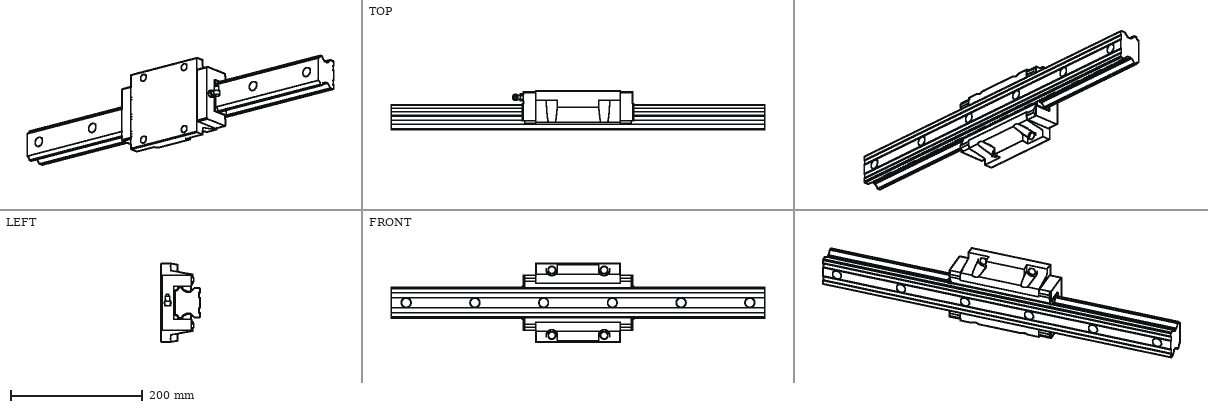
import cadquery as cq


RAIL_LENGTH = 570.0
RAIL_HEIGHT = 38.0
FOOT_HALF_WIDTH = 23.0
FOOT_HEIGHT = 8.5
FOOT_CHAMFER = 1.4
WAIST_HALF_WIDTH = 16.5
WAIST_BOTTOM = FOOT_HEIGHT + FOOT_HALF_WIDTH - WAIST_HALF_WIDTH
WAIST_TOP = 20.5
BEVEL_TOP = 22.0
BEVEL_HALF_WIDTH = 17.5
HEAD_HALF_WIDTH = 23.5
HEAD_BOTTOM = 28.0
TRACK_RADIUS = 5.0
FLANK_MIDPOINT = (25.5, 19.5)
RELIEF_INNER = 8.0
RELIEF_OUTER = 15.5
RELIEF_DEPTH = 1.4
RAIL_HOLE_COUNT = 6
RAIL_HOLE_PITCH = 105.0
RAIL_HOLE_DIAMETER = 14.0

MOUNT_FACE = 60.0
BLOCK_LENGTH = 129.0
BLOCK_BOTTOM = 11.5
FLANGE_HALF_WIDTH = 120.0 / 2
FLANGE_CHAMFER = 1.0
FLANGE_UNDERSIDE = 45.0
PAD_UNDERSIDE = 34.0
PAD_EDGE_HALF_WIDTH = 58.0
WEB_TOP_HALF_WIDTH = 49.0
WEB_BOTTOM_HALF_WIDTH = 43.5
FLANGE_FILLET = 3.5
BOLT_SPACING_X = 80.0
BOLT_SPACING_Z = 100.0
BOLT_HOLE_DIAMETER = 11.0
BOLT_POCKET_RADIUS = 8.5
PAD_LENGTH = BOLT_SPACING_X - 2 * BOLT_POCKET_RADIUS

CAP_TOP = 58.0
CAP_HALF_WIDTH = 42.0
CAP_CHAMFER = 1.5
CAP_SHOULDER = 13.5
CAP_BOTTOM = 9.5
CAP_FOOT_OUTER = 37.5
CAP_END = 81.5
PLATE_END = 83.0
LIP_END = 85.0
LIP_TOP = 40.0
LIP_HALF_WIDTH = 25.0

RAIL_CLEARANCE = 0.5
MOUTH_HALF_WIDTH = 52.5
MOUTH_SLOPE = 2.0
MOUTH_TOP = 17.0

NIPPLE_X = -95.0
NIPPLE_Y = 49.5
HEX_CORNER_DIAMETER = 11.0
HEX_LENGTH = 4.5
STEM_RADIUS = 3.5
BODY_RADIUS = 4.5
BODY_BOTTOM = -4.5
BODY_TOP = 2.0
NOZZLE_TOP = 9.5
TIP_RADIUS = 2.0
TIP_TOP = 13.0


def extrude_between(profile, x_start, x_end):
    """Extrude a closed YZ profile from x_start to x_end."""
    return profile.extrude(x_end - x_start).translate((x_start, 0, 0))


def polygon(points):
    return cq.Workplane("YZ").polyline(points).close()


def mirrored_polygon(points):
    """Closed profile from its +Z half, listed from one end to the other."""
    return polygon(points + [(y, -z) for y, z in reversed(points)])


def box_between(y_low, y_high, z_low, z_high, x_start, x_end):
    outline = polygon([(y_low, z_low), (y_high, z_low), (y_high, z_high), (y_low, z_high)])
    return extrude_between(outline, x_start, x_end)


def rail_profile():
    """Rail cross-section without the relief grooves in its foot."""
    track_edge = HEAD_HALF_WIDTH - TRACK_RADIUS
    track_bottom = RAIL_HEIGHT - TRACK_RADIUS
    track_mid = TRACK_RADIUS * 0.5**0.5
    flank_y, flank_z = FLANK_MIDPOINT
    return (
        cq.Workplane("YZ")
        .moveTo(0, -FOOT_HALF_WIDTH + FOOT_CHAMFER)
        .lineTo(0, FOOT_HALF_WIDTH - FOOT_CHAMFER)
        .lineTo(FOOT_CHAMFER, FOOT_HALF_WIDTH)
        .lineTo(FOOT_HEIGHT, FOOT_HALF_WIDTH)
        .lineTo(WAIST_BOTTOM, WAIST_HALF_WIDTH)
        .lineTo(WAIST_TOP, WAIST_HALF_WIDTH)
        .lineTo(BEVEL_TOP, BEVEL_HALF_WIDTH)
        .threePointArc((flank_y, flank_z), (HEAD_BOTTOM, HEAD_HALF_WIDTH))
        .lineTo(track_bottom, HEAD_HALF_WIDTH)
        .threePointArc(
            (RAIL_HEIGHT - track_mid, HEAD_HALF_WIDTH - track_mid), (RAIL_HEIGHT, track_edge)
        )
        .lineTo(RAIL_HEIGHT, -track_edge)
        .threePointArc(
            (RAIL_HEIGHT - track_mid, track_mid - HEAD_HALF_WIDTH), (track_bottom, -HEAD_HALF_WIDTH)
        )
        .lineTo(HEAD_BOTTOM, -HEAD_HALF_WIDTH)
        .threePointArc((flank_y, -flank_z), (BEVEL_TOP, -BEVEL_HALF_WIDTH))
        .lineTo(WAIST_TOP, -WAIST_HALF_WIDTH)
        .lineTo(WAIST_BOTTOM, -WAIST_HALF_WIDTH)
        .lineTo(FOOT_HEIGHT, -FOOT_HALF_WIDTH)
        .lineTo(FOOT_CHAMFER, -FOOT_HALF_WIDTH)
        .close()
    )


def y_cylinder(x, z, radius, y_low, y_high):
    return cq.Workplane("XY").add(
        cq.Solid.makeCylinder(radius, y_high - y_low, cq.Vector(x, y_low, z), cq.Vector(0, 1, 0))
    )


def make_rail():
    half = RAIL_LENGTH / 2
    rail = extrude_between(rail_profile(), -half, half)
    for low, high in ((RELIEF_INNER, RELIEF_OUTER), (-RELIEF_OUTER, -RELIEF_INNER)):
        rail = rail.cut(box_between(0, RELIEF_DEPTH, low, high, -half, half))
    for i in range(RAIL_HOLE_COUNT):
        x = (i - (RAIL_HOLE_COUNT - 1) / 2) * RAIL_HOLE_PITCH
        rail = rail.cut(y_cylinder(x, 0, RAIL_HOLE_DIAMETER / 2, 0, RAIL_HEIGHT))
    return rail


def web_half_width(y):
    """Half width of the tapered web at height y."""
    taper = (WEB_TOP_HALF_WIDTH - WEB_BOTTOM_HALF_WIDTH) / (FLANGE_UNDERSIDE - BLOCK_BOTTOM)
    return WEB_BOTTOM_HALF_WIDTH + taper * (y - BLOCK_BOTTOM)


def flanged_section(underside, edge_half_width, length):
    """Flange and tapered web; the flange can thicken and narrow down to its underside."""
    half = length / 2
    corner = web_half_width(underside)
    outline = [
        (MOUNT_FACE, FLANGE_HALF_WIDTH - FLANGE_CHAMFER),
        (MOUNT_FACE - FLANGE_CHAMFER, FLANGE_HALF_WIDTH),
        (FLANGE_UNDERSIDE, FLANGE_HALF_WIDTH),
    ]
    if underside < FLANGE_UNDERSIDE:
        outline.append((underside, edge_half_width))
    outline += [(underside, corner), (BLOCK_BOTTOM, WEB_BOTTOM_HALF_WIDTH)]
    section = extrude_between(mirrored_polygon(outline), -half, half)
    for side in (1, -1):
        corner_edge = cq.selectors.NearestToPointSelector((0, underside, side * corner))
        section = section.edges(corner_edge).fillet(FLANGE_FILLET)
    return section


def make_block():
    block = flanged_section(FLANGE_UNDERSIDE, FLANGE_HALF_WIDTH, BLOCK_LENGTH)
    block = block.union(flanged_section(PAD_UNDERSIDE, PAD_EDGE_HALF_WIDTH, PAD_LENGTH))
    for x in (-BOLT_SPACING_X / 2, BOLT_SPACING_X / 2):
        for z in (-BOLT_SPACING_Z / 2, BOLT_SPACING_Z / 2):
            block = block.cut(y_cylinder(x, z, BOLT_POCKET_RADIUS, 0, FLANGE_UNDERSIDE))
            block = block.cut(y_cylinder(x, z, BOLT_HOLE_DIAMETER / 2, 0, MOUNT_FACE))
    return block


def make_end():
    """End cap, wiper plate and seal lip at the +X end of the block."""
    upper_outline = [(CAP_TOP, CAP_HALF_WIDTH - CAP_CHAMFER), (CAP_TOP - CAP_CHAMFER, CAP_HALF_WIDTH)]
    shoulder = (CAP_SHOULDER, CAP_HALF_WIDTH)
    foot = (CAP_BOTTOM, CAP_FOOT_OUTER)
    cap = extrude_between(mirrored_polygon(upper_outline + [shoulder, foot]), BLOCK_LENGTH / 2, CAP_END)
    plate = extrude_between(mirrored_polygon(upper_outline + [shoulder]), CAP_END, PLATE_END)
    lip = box_between(CAP_SHOULDER, LIP_TOP, -LIP_HALF_WIDTH, LIP_HALF_WIDTH, PLATE_END, LIP_END)
    return cap.union(plate).union(lip)


def rail_opening():
    """Passage for the rail: its outline plus clearance, with a tapered mouth between the wiper plates."""
    mouth = mirrored_polygon(
        [(0, MOUTH_HALF_WIDTH), (MOUTH_TOP, MOUTH_HALF_WIDTH - MOUTH_SLOPE * MOUTH_TOP)]
    )
    passage = extrude_between(rail_profile().offset2D(RAIL_CLEARANCE), -LIP_END, LIP_END)
    return passage.union(extrude_between(mouth, -CAP_END, CAP_END))


def make_carriage():
    end = make_end()
    return make_block().union(end).union(end.mirror("YZ")).cut(rail_opening())


def make_nipple():
    """Elbow nipple: a hexagon on the wiper plate, then a stem into an upright, stepped nozzle."""
    hexagon = cq.Workplane("YZ", origin=(-PLATE_END, NIPPLE_Y, 0)).polygon(6, HEX_CORNER_DIAMETER)
    stem = cq.Workplane("YZ", origin=(-PLATE_END, NIPPLE_Y, 0)).circle(STEM_RADIUS)
    nipple = hexagon.extrude(-HEX_LENGTH).union(stem.extrude(NIPPLE_X + PLATE_END))
    for radius, top in ((BODY_RADIUS, BODY_TOP), (STEM_RADIUS, NOZZLE_TOP), (TIP_RADIUS, TIP_TOP)):
        upright = cq.Workplane("XY", origin=(NIPPLE_X, NIPPLE_Y, BODY_BOTTOM)).circle(radius)
        nipple = nipple.union(upright.extrude(top - BODY_BOTTOM))
    return nipple


rail = make_rail()
carriage = make_carriage()
nipple = make_nipple()

result = cq.Compound.makeCompound([rail.val(), carriage.val(), nipple.val()])